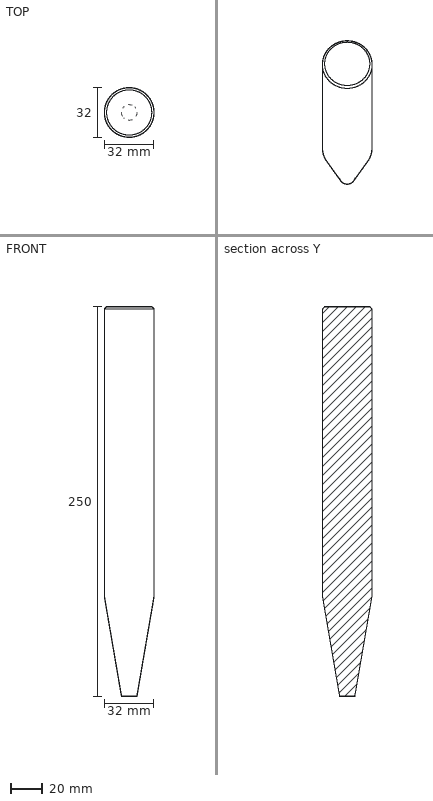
import cadquery as cq

total_length = 250.0
shank_diameter = 32.0
taper_length = 64.0
tip_diameter = 10.0
head_chamfer = 1.5

shank_radius = shank_diameter / 2
tip_radius = tip_diameter / 2

half_profile = (
    cq.Workplane("XZ")
    .moveTo(0, 0)
    .lineTo(tip_radius, 0)
    .lineTo(shank_radius, taper_length)
    .lineTo(shank_radius, total_length - head_chamfer)
    .lineTo(shank_radius - head_chamfer, total_length)
    .lineTo(0, total_length)
    .close()
)

result = half_profile.revolve(360, (0, 0, 0), (0, 1, 0))